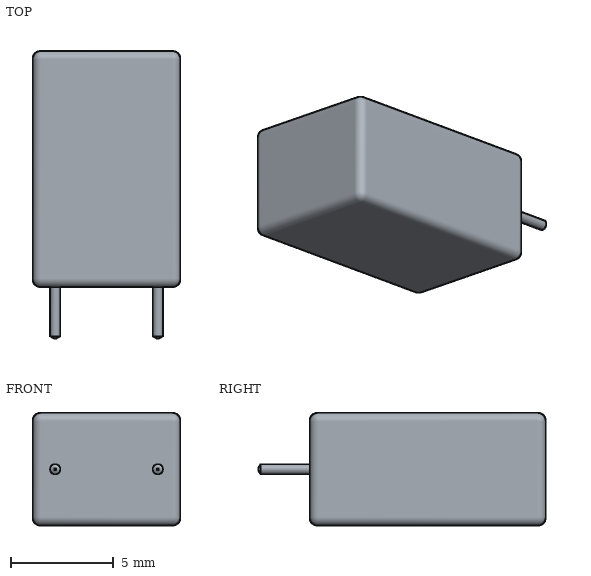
import cadquery as cq
import math

body_width = 7.2
body_length = 11.5
body_height = 5.5
edge_radius = 0.4

lead_diameter = 0.5
lead_pitch = 5.0
lead_length = 2.5

tip_flat_diameter = 0.1
tip_slope = 30.0


def make_body():
    """Block with every edge rounded."""
    block = cq.Workplane("XY").box(body_width, body_length, body_height, centered=(True, False, True))
    return block.edges().fillet(edge_radius)


def make_lead(x):
    """Half profile of a lead, revolved about the lead's axis at the given X."""
    lead_radius = lead_diameter / 2
    flat_radius = tip_flat_diameter / 2
    tip_length = (lead_radius - flat_radius) * math.tan(math.radians(tip_slope))
    profile = (
        cq.Workplane("YZ", origin=(x, 0, 0))
        .lineTo(0, lead_radius)
        .lineTo(-(lead_length - tip_length), lead_radius)
        .lineTo(-lead_length, flat_radius)
        .lineTo(-lead_length, 0)
        .close()
    )
    return profile.revolve(360, (0, 0), (1, 0))


result = make_body()
for side in (-1, 1):
    result = result.union(make_lead(side * lead_pitch / 2))